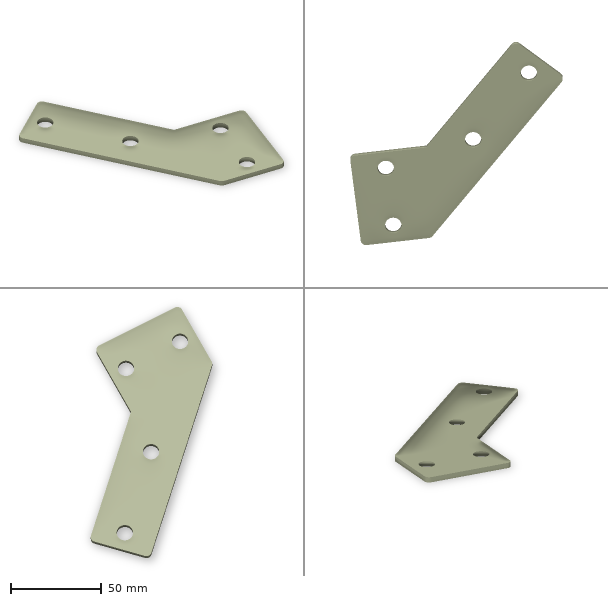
import cadquery as cq
import math

total_length = 146.3
total_width = 64.1
thickness = 3.0

arm_width = 35.0
heel_x = 120.0
corner_radius = 2.9

hole_diameter = 9.0
arm_hole_x = 10.0
arm_hole_spacing = 50.0
head_hole_spacing = 34.0
head_center_x = 115.2
head_center_y = 33.0

corner_trim = corner_radius * (math.sqrt(2) - 1)

right_x = total_length + corner_trim
right_y = right_x - heel_x
peak_y = total_width + corner_trim
peak_x = right_x - (peak_y - right_y)
inner_x = peak_x - (peak_y - arm_width)


def make_plate():
    """Straight arm with a 45 degree head, rounded at every corner but the inner one."""
    outline = [
        (0, 0),
        (heel_x, 0),
        (right_x, right_y),
        (peak_x, peak_y),
        (inner_x, arm_width),
        (0, arm_width),
    ]
    plate = cq.Workplane("XY").polyline(outline).close().extrude(thickness)
    left_corners = plate.edges("|Z and <X")
    right_corner = plate.edges("|Z and >X")
    peak_corner = plate.edges("|Z and >Y")
    heel_corner = plate.edges(cq.selectors.NearestToPointSelector((heel_x, 0, thickness / 2)))
    return plate.newObject(
        left_corners.vals() + right_corner.vals() + peak_corner.vals() + heel_corner.vals()
    ).fillet(corner_radius)


def hole_centers():
    """One pair along the arm's centre line, one pair parallel to the head's end edge."""
    arm_y = arm_width / 2
    head_offset = head_hole_spacing / 2 / math.sqrt(2)
    return [
        (arm_hole_x, arm_y),
        (arm_hole_x + arm_hole_spacing, arm_y),
        (head_center_x - head_offset, head_center_y + head_offset),
        (head_center_x + head_offset, head_center_y - head_offset),
    ]


holes = cq.Workplane("XY").pushPoints(hole_centers()).circle(hole_diameter / 2).extrude(thickness)
result = make_plate().cut(holes)